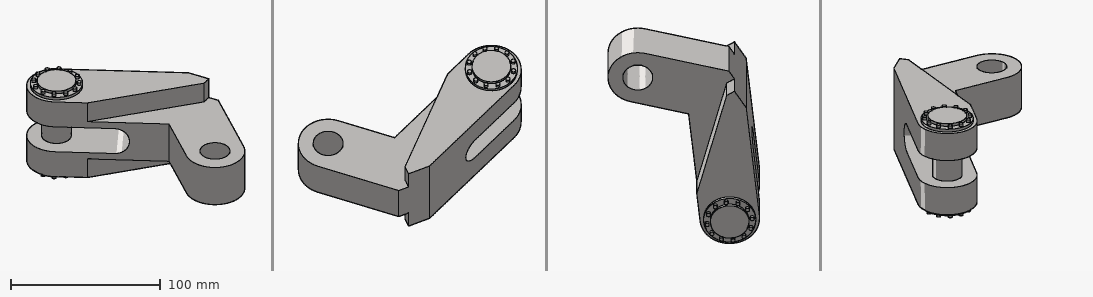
import cadquery as cq
import math

end_radius = 20.0
pivot_offset = 84.9
clevis_angle = 70.0
clevis_height = 60.0
eye_height = 30.0
bore_radius = end_radius / 2

slot_height = 20.0
slot_length = 50.0

corner_offset = 77.8
step_x = 26.2
step_top_y = 95.3
step_corner_y = 99.8

flange_radius = 17.5
flange_thickness = 2.0
hub_radius = 13.0
hub_thickness = 2.0
bolt_count = 12
bolt_circle_radius = 15.2
bolt_radius = 1.4
bolt_height = 2.0
bolt_start_angle = 7.0

along_x = math.cos(math.radians(clevis_angle))
along_y = math.sin(math.radians(clevis_angle))

left_tangent = (-end_radius * along_y, end_radius * along_x)
right_tangent = (end_radius * along_y, -end_radius * along_x)
round_end = (-end_radius * along_x, -end_radius * along_y)


def right_side_at_y(y):
    """Point on the inner flat side of the clevis leg."""
    return ((end_radius + y * along_x) / along_y, y)


def right_side_at_x(x):
    """Point on the inner flat side of the clevis leg."""
    return (x, (x * along_y - end_radius) / along_x)


eye_top_y = pivot_offset + end_radius
eye_bottom_y = pivot_offset - end_radius
eye_corner = (eye_top_y - corner_offset, eye_top_y)
clevis_corner_x = (corner_offset * along_x - end_radius) / (along_y - along_x)
clevis_corner = (clevis_corner_x, clevis_corner_x + corner_offset)


def centred_plate(outline, height):
    """Extrude a closed outline to a plate centred on Z = 0."""
    return outline.close().extrude(height / 2, both=True)


def bell_crank():
    """Full bent outline, as thick as the eye leg."""
    outline = (
        cq.Workplane("XY")
        .moveTo(*left_tangent)
        .threePointArc(round_end, right_tangent)
        .lineTo(*right_side_at_y(eye_bottom_y))
        .lineTo(pivot_offset, eye_bottom_y)
        .threePointArc((pivot_offset + end_radius, pivot_offset), (pivot_offset, eye_top_y))
        .lineTo(*eye_corner)
        .lineTo(*clevis_corner)
    )
    return centred_plate(outline, eye_height)


def clevis_leg():
    """Tall leg, ending at the step before the eye leg."""
    outline = (
        cq.Workplane("XY")
        .moveTo(*left_tangent)
        .threePointArc(round_end, right_tangent)
        .lineTo(*right_side_at_x(step_x))
        .lineTo(step_x, step_top_y)
        .lineTo(step_corner_y - corner_offset, step_corner_y)
        .lineTo(*clevis_corner)
    )
    return centred_plate(outline, clevis_height)


def clevis_slot():
    """Slot from the rounded end inwards, with a semicircular bottom across the leg."""
    slot_radius = slot_height / 2
    bottom_axis = slot_length - slot_radius
    open_end = -2 * end_radius
    leg_plane = cq.Plane(origin=(0, 0, 0), xDir=(along_x, along_y, 0), normal=(along_y, -along_x, 0))
    return (
        cq.Workplane(leg_plane)
        .moveTo(open_end, -slot_radius)
        .lineTo(bottom_axis, -slot_radius)
        .threePointArc((slot_length, 0), (bottom_axis, slot_radius))
        .lineTo(open_end, slot_radius)
        .close()
        .extrude(2 * end_radius, both=True)
    )


def pin_cap():
    """Flange, raised hub and ring of bolt heads on the upper clevis face."""
    face = cq.Workplane("XY").workplane(offset=clevis_height / 2)
    flange = face.circle(flange_radius).extrude(flange_thickness)
    flange_top = face.workplane(offset=flange_thickness)
    hub = flange_top.circle(hub_radius).extrude(hub_thickness)
    bolts = (
        flange_top
        .polarArray(bolt_circle_radius, bolt_start_angle, 360, bolt_count)
        .circle(bolt_radius)
        .extrude(bolt_height)
    )
    return flange.union(hub).union(bolts)


eye_hole = (
    cq.Workplane("XY")
    .center(pivot_offset, pivot_offset)
    .circle(bore_radius)
    .extrude(eye_height / 2, both=True)
)
pin = cq.Workplane("XY").circle(bore_radius).extrude(clevis_height / 2, both=True)
upper_cap = pin_cap()

result = (
    bell_crank()
    .union(clevis_leg())
    .cut(clevis_slot())
    .cut(eye_hole)
    .union(pin)
    .union(upper_cap)
    .union(upper_cap.mirror("XY"))
)